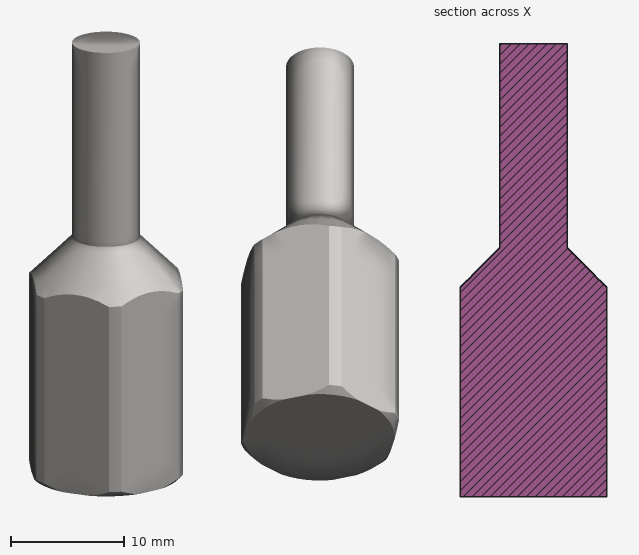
import cadquery as cq
import math

hexagon_sides = 6
across_flats = 13.0
corner_diameter = 14.4
total_height = 40.0

pin_diameter = 6.0
pin_length = 18.0

bottom_chamfer = 0.6

corner_radius = corner_diameter / 2
pin_radius = pin_diameter / 2
shoulder_height = total_height - pin_length
cone_height = corner_radius - pin_radius
cone_base_height = shoulder_height - cone_height


def turned_envelope():
    """Revolved profile: bottom chamfer, rounded corners, cone and pin."""
    return (
        cq.Workplane("XZ")
        .moveTo(0, 0)
        .lineTo(corner_radius - bottom_chamfer, 0)
        .lineTo(corner_radius, bottom_chamfer)
        .lineTo(corner_radius, cone_base_height)
        .lineTo(pin_radius, shoulder_height)
        .lineTo(pin_radius, total_height)
        .lineTo(0, total_height)
        .close()
        .revolve(360, (0, 0, 0), (0, 1, 0))
    )


def hexagonal_bar():
    """Full-height hexagon with corners on X and flats facing Y."""
    across_corners = across_flats / math.cos(math.pi / hexagon_sides)
    return cq.Workplane("XY").polygon(hexagon_sides, across_corners).extrude(total_height)


result = turned_envelope().intersect(hexagonal_bar())